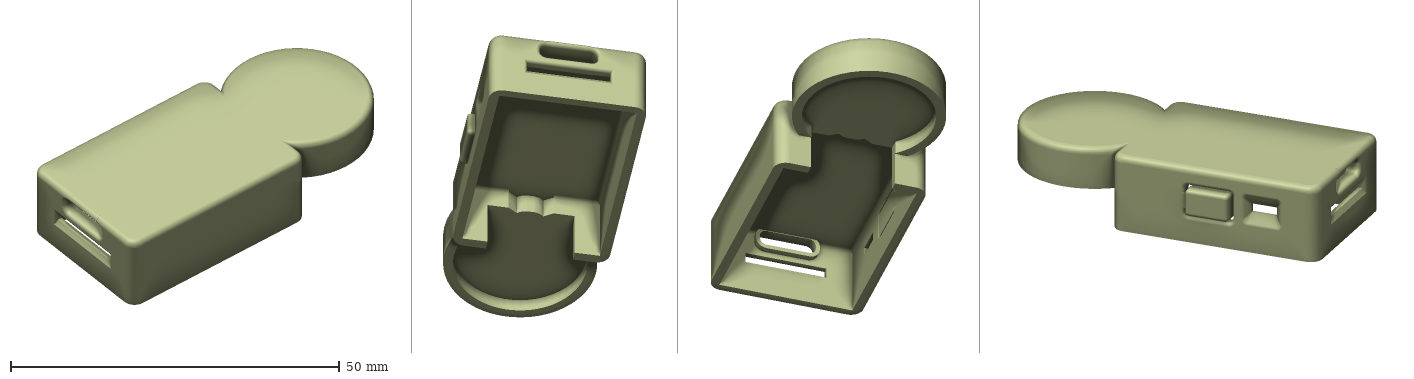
import cadquery as cq


total_length = 53.9
case_width = 24.3
case_length = 34.3
case_height = 12.3
corner_radius = 2.0
top_radius = 1.0
wall = 1.5
front_wall = 1.25
ceiling_thickness = 1.1
ceiling_radius = 0.7
case_left = -case_width / 2
ceiling_z = case_height - ceiling_thickness
back_wall_y = case_length - wall

head_radius = 11.75
head_height = 6.7
head_y = total_length - head_radius
head_bottom_z = case_height - head_height
head_pocket_radius = head_radius - wall
head_pocket_top_z = 7.8
passage_width = 13.5

recess_half_width = 3.5
recess_front_y = back_wall_y - ceiling_radius
recess_valley_x = 2.05
recess_valley_y = back_wall_y + 0.9
recess_bump_half_width = 0.6
recess_bump_y = back_wall_y + 0.25
recess_bump_mid_x = 1.25
recess_bump_mid_y = back_wall_y + 0.45

port_width = 8.95
port_height = 2.6
port_corner_radius = 1.1
port_lip_radius = 0.65
brow_radius = 0.85
port_z = 9.8
port_depth = 2.25
port_collar_thickness = 0.65

slot_width = 12.95
slot_top_z = 6.95
slot_bottom_z = 5.3
slot_lip_radius = 0.55
slot_ramp_height = 0.85
slot_ramp_depth = 0.55

button_y = 18.05
button_z = 6.8
button_length = 7.15
button_height = 4.35
button_protrusion = 0.95
button_radius = 0.6
button_root_radius = 0.3
button_gap = 0.3
button_opening_radius = 0.6
button_lip_radius = 0.65
tongue_height = 2.4

window_y = 9.2
window_z = 7.0
window_length = 6.35
window_height = 4.95
window_corner_radius = 0.65
window_lip_radius = 0.55
funnel_depth = 0.95
throat_length = 4.2
throat_height = 1.45
throat_corner_radius = 0.05


def block(x_range, y_range, z_range):
    """Box between the given limits along each axis."""
    size = [limits[1] - limits[0] for limits in (x_range, y_range, z_range)]
    start = (x_range[0], y_range[0], z_range[0])
    return cq.Workplane("XY").box(*size, centered=False).translate(start)


def left_wall_plane(x, y, z):
    """Plane across the left wall: local x runs along Y, local y along Z, normal along +X."""
    return cq.Workplane(cq.Plane(origin=(x, y, z), xDir=(0, 1, 0), normal=(1, 0, 0)))


def rounded_rectangle(width, height, radius):
    return cq.Sketch().rect(width, height).vertices().fillet(radius)


def case_block():
    case = block((case_left, -case_left), (0, case_length), (0, case_height))
    return case.edges("|Z").fillet(corner_radius)


def edges_of_opening(length_axis, center, length, height):
    """Selector for the outer edges of a wall opening whose length runs along X or Y."""
    margin = 0.05
    half_length = length / 2 + margin
    half_height = height / 2 + margin
    x, y, z = center
    half_x = half_length if length_axis == "X" else margin
    half_y = half_length if length_axis == "Y" else margin
    return cq.selectors.BoxSelector(
        (x - half_x, y - half_y, z - half_height), (x + half_x, y + half_y, z + half_height)
    )


def rounded_envelope():
    """Case with its top edge rounded, less so in a short stretch above the port."""
    envelope = case_block().edges(">Z").fillet(top_radius)
    half_width = port_width / 2 - port_corner_radius
    brow = block((-half_width, half_width), (0, port_depth), (case_height / 2, case_height))
    return envelope.union(brow.edges(">Z and <Y").fillet(brow_radius))


def port_prism(margin):
    """Port outline grown by a margin and extruded inwards from the front wall."""
    front = cq.Plane(origin=(0, port_depth, port_z), xDir=(1, 0, 0), normal=(0, -1, 0))
    profile = rounded_rectangle(
        port_width + 2 * margin, port_height + 2 * margin, port_corner_radius + margin
    )
    return cq.Workplane(front).placeSketch(profile).extrude(port_depth)


def cut_port(body):
    body = body.cut(port_prism(0))
    lip = edges_of_opening("X", (0, 0, port_z), port_width, port_height)
    return body.faces("<Y").edges(lip).fillet(port_lip_radius)


def cut_card_slot(body):
    """Slot with rounded top and side lips and a ramp that rises inwards along its bottom."""
    half_width = slot_width / 2
    opening = block((-half_width, half_width), (0, front_wall), (slot_bottom_z, slot_top_z))
    ramp = (
        cq.Workplane("YZ")
        .moveTo(0, slot_bottom_z - slot_ramp_height)
        .lineTo(0, slot_bottom_z)
        .lineTo(slot_ramp_depth, slot_bottom_z)
        .close()
        .extrude(half_width, both=True)
    )
    body = body.cut(opening).cut(ramp)
    slot_z = (slot_top_z + slot_bottom_z) / 2
    upper_lip = edges_of_opening("X", (0, 0, slot_z), slot_width, slot_top_z - slot_bottom_z)
    return body.faces("<Y").edges(upper_lip).fillet(slot_lip_radius)


def cut_window(body):
    """Window that narrows like a funnel to a throat on the inside of the left wall."""
    mouth = rounded_rectangle(window_length, window_height, window_corner_radius)
    throat = rounded_rectangle(throat_length, throat_height, throat_corner_radius)
    funnel = (
        left_wall_plane(case_left, window_y, window_z)
        .placeSketch(mouth, throat.moved(cq.Location(cq.Vector(0, 0, funnel_depth))))
        .loft()
    )
    straight_throat = left_wall_plane(case_left, window_y, window_z).placeSketch(throat).extrude(wall)
    body = body.cut(funnel).cut(straight_throat)
    lip = edges_of_opening("Y", (case_left, window_y, window_z), window_length, window_height)
    return body.faces("<X").edges(lip).fillet(window_lip_radius)


def cut_button_opening(body):
    length = button_length + 2 * button_gap
    height = button_height + 2 * button_gap
    profile = rounded_rectangle(length, height, button_opening_radius)
    body = body.cut(left_wall_plane(case_left, button_y, button_z).placeSketch(profile).extrude(wall))
    lip = edges_of_opening("Y", (case_left, button_y, button_z), length, height)
    return body.faces("<X").edges(lip).fillet(button_lip_radius)


def button():
    """Button held by a tongue that is flush with the left wall."""
    cap = block(
        (case_left - button_protrusion, case_left + wall),
        (button_y - button_length / 2, button_y + button_length / 2),
        (button_z - button_height / 2, button_z + button_height / 2),
    )
    cap = cap.edges("|X or <X").fillet(button_radius)
    tongue_end_y = button_y + button_length / 2 + button_gap + button_lip_radius
    tongue = block(
        (case_left, case_left + wall),
        (button_y, tongue_end_y),
        (button_z - tongue_height / 2, button_z + tongue_height / 2),
    )
    root_y = button_y + button_length / 2
    root_edge = cq.selectors.NearestToPointSelector((case_left, root_y, button_z))
    return cap.union(tongue).edges("|Z").edges(root_edge).fillet(button_root_radius)


def round_head():
    return (
        cq.Workplane("XY", origin=(0, head_y, head_bottom_z))
        .circle(head_radius)
        .extrude(head_height)
        .faces(">Z")
        .edges()
        .fillet(top_radius)
    )


def case_cavity():
    """Cavity open at the bottom that leaves a collar around the port."""
    half_width = case_width / 2 - wall
    cavity = block((-half_width, half_width), (front_wall, back_wall_y), (0, ceiling_z))
    return cavity.edges(">Z").fillet(ceiling_radius).cut(port_prism(port_collar_thickness))


def head_pocket():
    """Pocket under the head, open at the bottom and joined to the case cavity."""
    pocket = (
        cq.Workplane("XY", origin=(0, head_y, 0)).circle(head_pocket_radius).extrude(head_pocket_top_z)
    )
    passage = block(
        (-passage_width / 2, passage_width / 2), (back_wall_y, head_y), (0, head_pocket_top_z)
    )
    return pocket.union(passage)


def back_recess():
    """Recess with slanted sides and a rounded bump in the middle."""
    return (
        cq.Workplane("XY")
        .moveTo(-recess_half_width, recess_front_y)
        .lineTo(-recess_half_width, back_wall_y)
        .lineTo(-recess_valley_x, recess_valley_y)
        .threePointArc((-recess_bump_mid_x, recess_bump_mid_y), (-recess_bump_half_width, recess_bump_y))
        .lineTo(recess_bump_half_width, recess_bump_y)
        .threePointArc((recess_bump_mid_x, recess_bump_mid_y), (recess_valley_x, recess_valley_y))
        .lineTo(recess_half_width, back_wall_y)
        .lineTo(recess_half_width, recess_front_y)
        .close()
        .extrude(ceiling_z)
    )


body = case_block()
body = cut_port(body)
body = cut_card_slot(body)
body = cut_window(body)
body = cut_button_opening(body)
body = body.intersect(rounded_envelope())
body = body.union(round_head())
body = body.cut(case_cavity()).cut(head_pocket()).cut(back_recess())
result = body.union(button())